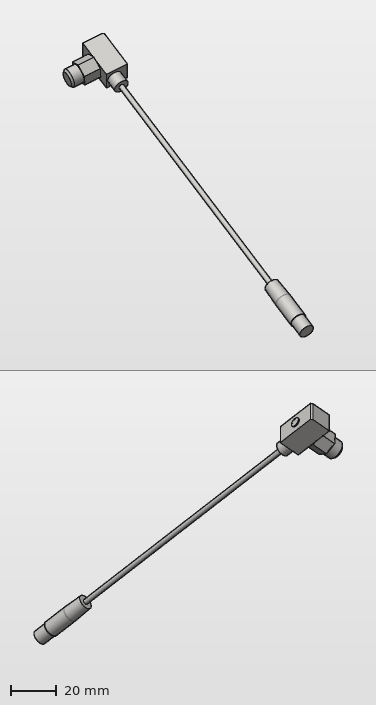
import cadquery as cq

total_length = 180.0
overlap = 0.9

housing_length = 19.8
housing_depth = 10.8
housing_height = 10.3
housing_front_y = -4.1
housing_back_y = housing_front_y + housing_depth
bevel_length = 0.5
bevel_depth = 1.0

coupling_x = 9.9
nut_corner_diameter = 11.5
nut_length = 8.1
nut_twist = 5.0
tip_diameter = 9.0
tip_length = 6.0
tip_end_diameter = 7.0
tip_bevel_length = 1.0
cap_diameter = 4.5
cap_height = 0.5

collar_diameter = 7.0
collar_length = 5.8
cable_diameter = 2.5

rear_length = 9.7
grip_length = 12.5
nose_length = 7.0
rear_diameter = 7.0
grip_diameter = 7.7
nose_diameter = 7.0
connector_start_x = total_length - nose_length - grip_length - rear_length


def rod_along_x(start_x, end_x, diameter):
    """Round bar on the cable axis."""
    return cq.Workplane("YZ", origin=(start_x, 0, 0)).circle(diameter / 2).extrude(end_x - start_x)


def front_plane(y):
    """Plane on the coupling axis whose normal points toward -Y."""
    return cq.Workplane("XZ", origin=(coupling_x, y, 0))


def make_housing():
    """Rectangular block with one bevelled vertical edge at its outer back corner."""
    outline = [
        (0, housing_front_y),
        (housing_length, housing_front_y),
        (housing_length, housing_back_y),
        (bevel_length, housing_back_y),
        (0, housing_back_y - bevel_depth),
    ]
    return cq.Workplane("XY").polyline(outline).close().extrude(housing_height / 2, both=True)


def make_coupling():
    """Hexagonal nut followed by a round tip with a bevelled rim."""
    nut = (
        front_plane(housing_front_y)
        .transformed(rotate=(0, 0, 90 + nut_twist))
        .polygon(6, nut_corner_diameter)
        .extrude(nut_length)
    )
    nut_front_y = housing_front_y - nut_length
    tip = (
        front_plane(nut_front_y + overlap)
        .circle(tip_diameter / 2)
        .extrude(tip_length + overlap)
        .faces("<Y")
        .chamfer(tip_bevel_length, (tip_diameter - tip_end_diameter) / 2)
    )
    return nut.union(tip)


def make_cap():
    """Low round cap on the back of the housing."""
    return front_plane(housing_back_y + cap_height).circle(cap_diameter / 2).extrude(cap_height + overlap)


def make_connector():
    """Slightly tapered rear, cylindrical grip and thinner nose, revolved about the cable axis."""
    grip_start_x = connector_start_x + rear_length
    grip_end_x = grip_start_x + grip_length
    profile = [
        (connector_start_x, 0),
        (connector_start_x, rear_diameter / 2),
        (grip_start_x, grip_diameter / 2),
        (grip_end_x, grip_diameter / 2),
        (grip_end_x, nose_diameter / 2),
        (total_length, nose_diameter / 2),
        (total_length, 0),
    ]
    return cq.Workplane("XY").polyline(profile).close().revolve(360, (0, 0, 0), (1, 0, 0))


collar_end_x = housing_length + collar_length
collar = rod_along_x(housing_length - overlap, collar_end_x, collar_diameter)
cable = rod_along_x(collar_end_x - overlap, connector_start_x + overlap, cable_diameter)

result = make_housing()
for piece in (make_coupling(), make_cap(), collar, cable, make_connector()):
    result = result.union(piece)